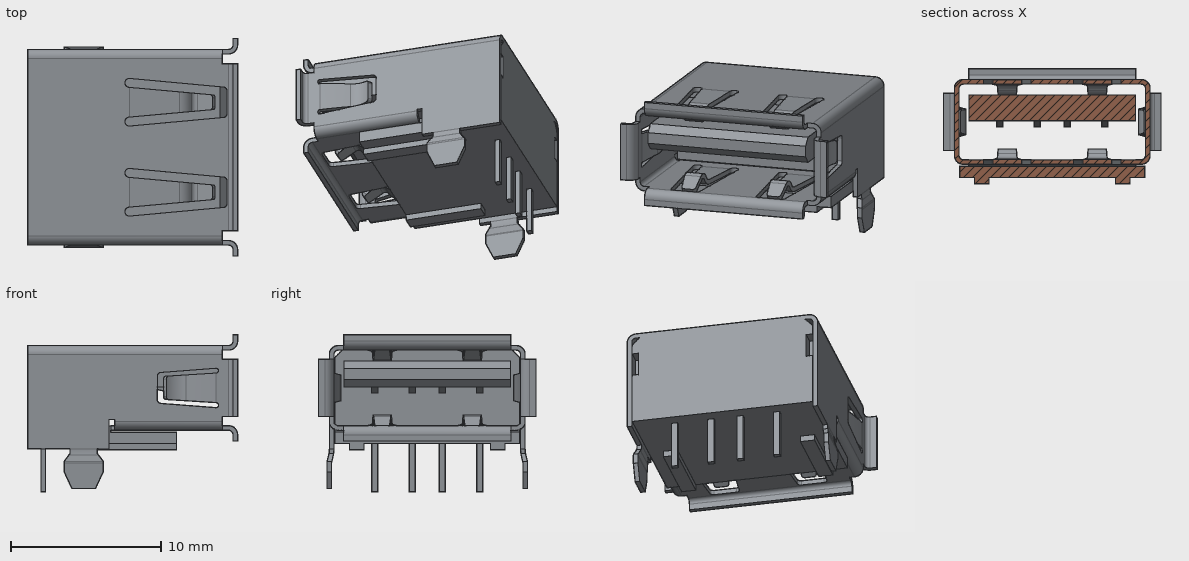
import cadquery as cq
import math


sheet = 0.32
shell_length = 12.98
shell_width = 13.06
shell_height = 5.66
shell_top_z = 6.96
shell_bend_radius = 0.6
shell_axis_z = shell_top_z - shell_height / 2
shell_bottom_z = shell_top_z - shell_height

rear_wall_length = 5.43
rear_wall_bottom_z = 0.06
relief_front_x = 5.79
relief_top_z = 2.02
floor_rear_x = 5.55
floor_corner_radius = 0.22

lip_run = 0.4
lip_bend_radius = 0.3
lip_rise = 0.42
lip_width_top = 11.14
lip_width_side = 3.84

long_spring_y = 3.0
long_hinge_x = 6.78
long_window_end_x = 13.28
long_window_hinge_half = 1.59
long_window_end_half = 0.99
long_finger_hinge_half = 0.99
long_finger_tip_half = 0.47
long_finger_tip_x = 12.55
long_lobe_radius = (long_window_hinge_half - long_finger_hinge_half) / 2
long_fall_angle = 1.3
long_fall_run = 3.32
long_dip_angle = 60.0
long_dip_radius = 0.985
long_rise_angle = 34.0
long_rise_radius = 0.281
long_rise_run = 1.19

side_hinge_x = 12.55
side_window_end_x = 8.64
side_window_hinge_half = 1.31
side_window_end_half = 1.01
side_finger_hinge_half = 0.99
side_finger_tip_half = 0.77
side_finger_tip_x = 9.05
side_lobe_radius = (side_window_hinge_half - side_finger_hinge_half) / 2
side_start_angle = 9.0
side_fall_angle = 15.0
side_fall_radius = 19.4
side_return_angle = 38.0
side_return_radius = 1.51

window_corner_radius = 0.25
finger_corner_radius = 0.2

leg_x = 3.73
leg_neck_half = 0.92
leg_wide_half = 1.31
leg_tip_half = 0.79
leg_bend_angle = 13.5
leg_upper_bend_radius = 1.67
leg_slope_run = 0.45
leg_lower_bend_radius = 0.51
leg_neck_bottom_z = -0.25
leg_wide_top_z = -0.77
leg_taper_z = -1.46
leg_bottom_z = -2.58

insulator_width = 12.36
insulator_bottom_z = 0.41
insulator_rear_length = 5.4
insulator_chamfer = 0.5
insulator_step_top_z = 1.6
base_front_x = 9.92
base_top_z = 1.18
foot_rear_x = 4.7
foot_width = 0.97
foot_y = 4.7
pocket_bottom_z = 3.88
pocket_top_z = 5.48
pocket_width = 0.43
pocket_depth = 1.0
tongue_bottom_z = 4.2
tongue_top_z = 5.93
tongue_width = 11.1
tongue_front_x = 13.3
tongue_chamfer = 0.5

contact_ys = (-3.5, -1.0, 1.0, 3.5)
contact_width = 0.43
pin_x = 1.04
pin_thickness = 0.32
pin_bottom_z = -2.8
contact_start_x = 7.8
contact_peak_x = 9.6
contact_end_x = 10.6
contact_peak_height = 0.4


def block(x0, x1, y0, y1, z0, z1):
    """Axis-aligned box between opposite corners."""
    return cq.Workplane("XY").box(x1 - x0, y1 - y0, z1 - z0, centered=False).translate((x0, y0, z0))


def on_wall(body, turn, half_size):
    """Move a body made with the wall's outer face at Z = 0 onto a wall, turned about the shell axis."""
    raised = body.translate((0, 0, half_size))
    return raised.rotate((0, 0, 0), (1, 0, 0), turn).translate((0, 0, shell_axis_z))


def on_top_and_bottom(body):
    """Copies of a wall feature on the top and bottom walls."""
    return [on_wall(body, turn, shell_height / 2) for turn in (0, 180)]


def on_sides(body):
    """Copies of a wall feature on the two side walls."""
    return [on_wall(body, turn, shell_width / 2) for turn in (90, -90)]


def bent_strip(start_x, start_angle, pieces, width):
    """Sheet strip centred on Y = 0 that follows straight runs and bends from (start_x, 0) toward +X.

    Each piece is (length, 0) for a run or (radius, turn) for a bend; positive turns are outward (+Z).
    The path is the outer face and the sheet lies below it.
    """
    x, z, heading = start_x, 0.0, math.radians(start_angle)

    def both_faces():
        under = (x + sheet * math.sin(heading), z - sheet * math.cos(heading))
        return (x, z), under

    stations = [both_faces()]
    middles = []
    for size, turn in pieces:
        half_turn = math.radians(turn) / 2
        half_step = size / 2
        if turn:
            half_step = 2 * size * math.sin(abs(half_turn) / 2)
        for _ in range(2):
            x += half_step * math.cos(heading + half_turn / 2)
            z += half_step * math.sin(heading + half_turn / 2)
            heading += half_turn
            stations.append(both_faces())
        middles.append(bool(turn))

    outline = cq.Workplane("XZ", origin=(0, width / 2, 0)).moveTo(*stations[0][0])
    count = len(pieces)
    for index in range(count):
        middle, end = stations[2 * index + 1][0], stations[2 * index + 2][0]
        outline = outline.threePointArc(middle, end) if middles[index] else outline.lineTo(*end)
    outline = outline.lineTo(*stations[-1][1])
    for index in reversed(range(count)):
        middle, end = stations[2 * index + 1][1], stations[2 * index][1]
        outline = outline.threePointArc(middle, end) if middles[index] else outline.lineTo(*end)
    return outline.close().extrude(width)


def tapered_prism(hinge_x, end_x, hinge_half, end_half):
    """Tall trapezoid prism around Y = 0, reaching above and below the outer face of a wall."""
    depth = shell_height / 2
    return (
        cq.Workplane("XY", origin=(0, 0, -depth / 2))
        .polyline([(hinge_x, -hinge_half), (end_x, -end_half), (end_x, end_half), (hinge_x, hinge_half)])
        .close()
        .extrude(depth)
    )


def spring_window(hinge_x, end_x, hinge_half, end_half, lobe_radius):
    """Opening around a finger, with a round lobe on each side of its hinge."""
    window = tapered_prism(hinge_x, end_x, hinge_half, end_half)
    end_side = ">X" if end_x > hinge_x else "<X"
    window = window.faces(end_side).edges("|Z").fillet(window_corner_radius)
    depth = shell_height / 2
    lobe_y = hinge_half - lobe_radius
    lobes = (
        cq.Workplane("XY", origin=(0, 0, -depth / 2))
        .pushPoints([(hinge_x, lobe_y), (hinge_x, -lobe_y)])
        .circle(lobe_radius)
        .extrude(depth)
    )
    return window.union(lobes)


def finger(start_angle, pieces, length, hinge_half, tip_half):
    """Tapered finger growing toward +X from a hinge at the origin, with rounded tip corners."""
    strip = bent_strip(0, start_angle, pieces, 2 * hinge_half)
    body = strip.intersect(tapered_prism(0, length, hinge_half, tip_half))
    body = body.union(strip.intersect(tapered_prism(-sheet, 0, hinge_half, hinge_half)))
    tip_angle = math.radians(start_angle + sum(turn for _, turn in pieces))
    tip_direction = cq.Vector(math.cos(tip_angle), 0, math.sin(tip_angle))
    tip_face = body.faces(cq.selectors.ParallelDirSelector(tip_direction))
    return tip_face.edges("not |Y").fillet(finger_corner_radius)


def long_window():
    return spring_window(
        long_hinge_x, long_window_end_x, long_window_hinge_half, long_window_end_half, long_lobe_radius
    )


def long_finger():
    """Finger that slopes into the shell and flares back out at its front tip."""
    pieces = [
        (long_fall_run, 0),
        (long_dip_radius, long_fall_angle - long_dip_angle),
        (long_rise_radius, long_dip_angle + long_rise_angle),
        (long_rise_run, 0),
    ]
    length = long_finger_tip_x - long_hinge_x
    body = finger(-long_fall_angle, pieces, length, long_finger_hinge_half, long_finger_tip_half)
    return body.translate((long_hinge_x, 0, 0))


def side_window():
    return spring_window(
        side_hinge_x, side_window_end_x, side_window_hinge_half, side_window_end_half, side_lobe_radius
    )


def side_finger():
    """Finger hinged near the opening that bows into the shell toward the back."""
    pieces = [
        (side_fall_radius, side_start_angle - side_fall_angle),
        (side_return_radius, side_fall_angle + side_return_angle),
    ]
    length = side_hinge_x - side_finger_tip_x
    body = finger(-side_start_angle, pieces, length, side_finger_hinge_half, side_finger_tip_half)
    return body.mirror("YZ").translate((side_hinge_x, 0, 0))


def lip(width):
    """Lip that runs on from a wall and flares outward through a right angle."""
    return bent_strip(shell_length, 0, [(lip_run, 0), (lip_bend_radius, 90), (lip_rise, 0)], width)


def shell_tube():
    """Rounded rectangular tube, with its floor cut short in front of the deep rear side walls."""
    half_width = shell_width / 2
    outer = block(0, shell_length, -half_width, half_width, shell_bottom_z, shell_top_z)
    outer = outer.edges("|X").fillet(shell_bend_radius)
    inner_half = half_width - sheet
    inner = block(0, shell_length, -inner_half, inner_half, shell_bottom_z + sheet, shell_top_z - sheet)
    inner = inner.edges("|X").fillet(shell_bend_radius - sheet)
    relief = block(0, relief_front_x, -half_width, half_width, shell_bottom_z, relief_top_z)
    tube = outer.cut(inner).cut(relief)

    floor_half = half_width - shell_bend_radius
    floor_edge = block(
        floor_rear_x, relief_front_x, -floor_half, floor_half, shell_bottom_z, shell_bottom_z + sheet
    )
    floor_edge = floor_edge.faces("<X").edges("|Z").fillet(floor_corner_radius)
    tube = tube.union(floor_edge)
    for y in (-half_width, inner_half):
        tube = tube.union(block(0, rear_wall_length, y, y + sheet, rear_wall_bottom_z, relief_top_z))
    return tube


def leg():
    """Retention leg of the -Y wall: stepped outward, flared below its neck and tapered to its tip."""
    top_z = rear_wall_bottom_z
    pieces = [
        (leg_upper_bend_radius, leg_bend_angle),
        (leg_slope_run, 0),
        (leg_lower_bend_radius, -leg_bend_angle),
        (top_z - leg_bottom_z, 0),
    ]
    strip = bent_strip(0, 0, pieces, 2 * leg_wide_half)
    strip = strip.rotate((0, 0, 0), (0, 1, 0), 90).rotate((0, 0, 0), (0, 0, 1), -90)
    strip = strip.translate((leg_x, -shell_width / 2, top_z))
    right_side = [
        (leg_neck_half, top_z),
        (leg_neck_half, leg_neck_bottom_z),
        (leg_wide_half, leg_wide_top_z),
        (leg_wide_half, leg_taper_z),
        (leg_tip_half, leg_bottom_z),
    ]
    left_side = [(-x, z) for x, z in reversed(right_side)]
    plan = (
        cq.Workplane("XZ", origin=(leg_x, 0, 0))
        .polyline(right_side + left_side)
        .close()
        .extrude(shell_width)
    )
    return strip.intersect(plan)


def shell():
    body = shell_tube()
    for part in on_sides(lip(lip_width_side)) + on_top_and_bottom(lip(lip_width_top)):
        body = body.union(part)
    windows = on_sides(side_window())
    additions = on_sides(side_finger()) + [leg(), leg().mirror("XZ")]
    for y in (-long_spring_y, long_spring_y):
        windows += on_top_and_bottom(long_window().translate((0, y, 0)))
        additions += on_top_and_bottom(long_finger().translate((0, y, 0)))
    for window in windows:
        body = body.cut(window)
    for addition in additions:
        body = body.union(addition)
    return body


def insulator():
    """Rear block, base under the shell floor, two feet and the contact tongue."""
    half_width = insulator_width / 2
    ceiling_z = shell_top_z - sheet
    body = block(0, insulator_rear_length, -half_width, half_width, insulator_bottom_z, ceiling_z)
    body = body.faces(">Z").edges("|X").chamfer(insulator_chamfer)
    for side in (-1, 1):
        pocket_y = side * (half_width - pocket_width / 2)
        pocket = block(
            0,
            pocket_depth,
            pocket_y - pocket_width / 2,
            pocket_y + pocket_width / 2,
            pocket_bottom_z,
            pocket_top_z,
        )
        body = body.cut(pocket)
    body = body.union(
        block(0, floor_rear_x, -half_width, half_width, insulator_bottom_z, insulator_step_top_z)
    )
    body = body.union(block(0, base_front_x, -half_width, half_width, insulator_bottom_z, base_top_z))
    for y in (-foot_y, foot_y):
        foot = block(foot_rear_x, base_front_x, y - foot_width / 2, y + foot_width / 2, 0, insulator_bottom_z)
        body = body.union(foot)
    tongue = block(
        insulator_rear_length,
        tongue_front_x,
        -tongue_width / 2,
        tongue_width / 2,
        tongue_bottom_z,
        tongue_top_z,
    )
    tongue = tongue.faces(">X").edges("|Y").chamfer(tongue_chamfer)
    return body.union(tongue)


def contact(y):
    """Solder pin below the insulator and the contact bow under the tongue, as two separate bodies."""
    pin = block(
        pin_x - pin_thickness / 2,
        pin_x + pin_thickness / 2,
        y - contact_width / 2,
        y + contact_width / 2,
        pin_bottom_z,
        insulator_bottom_z,
    )
    bow = (
        cq.Workplane("XZ", origin=(0, y + contact_width / 2, 0))
        .moveTo(contact_start_x, tongue_bottom_z)
        .lineTo(contact_peak_x, tongue_bottom_z - contact_peak_height)
        .lineTo(contact_end_x, tongue_bottom_z)
        .close()
        .extrude(contact_width)
    )
    return [pin, bow]


def receptacle():
    body = shell().union(insulator())
    for y in contact_ys:
        for piece in contact(y):
            body = body.union(piece)
    return body


result = receptacle()